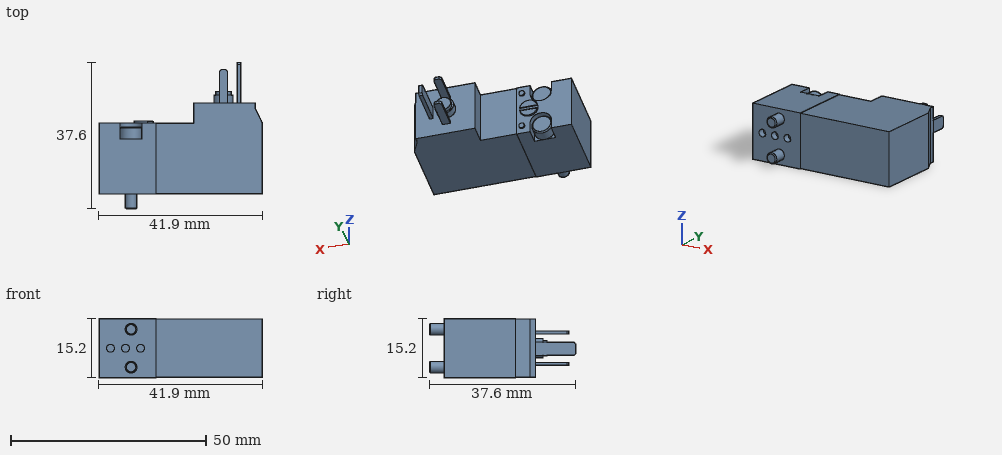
import cadquery as cq

head_length = 14.6
head_depth = 18.3
head_height = 15.2

overall_length = 41.85
body_height = 15.0
body_inset = 0.1
step_x = 24.27
terminal_face_y = 23.4
bevel_start_x = 40.05
bevel_start_y = 21.97
bevel_end_y = 18.35

screw_x = 8.2
screw_offset_z = 4.85
screw_diameter = 3.0
screw_projection = 3.8
screw_tip_chamfer = 0.3
screw_head_diameter = 5.5
screw_head_top_y = 17.25
screw_head_chamfer = 0.35
pocket_width = 5.65
pocket_floor_y = 14.2

port_diameter = 2.0
port_depth = 2.0
port_centre_x = 6.8
port_pitch = 3.85

button_x = 11.3
button_diameter = 4.8
button_height = 0.5
button_slot_width = 0.88
button_slot_depth = 0.3
stud_x = 13.2
stud_offset_z = 5.3
stud_diameter = 1.5
stud_height = 0.38

collar_x = 31.9
collar_diameter = 5.0
collar_height = 1.95
neck_diameter = 4.0
neck_height = 1.0
power_blade_width = 2.1
power_blade_thickness = 0.8
power_blade_length = 8.6
power_blade_offset_z = 4.0
ground_blade_x = 35.85
ground_blade_z = -0.15
ground_blade_width = 3.4
ground_blade_thickness = 0.95
ground_blade_end_y = 33.77
blade_chamfer = 0.5


def cylinder_y(diameter, x, y_start, y_end, z=0.0):
    """Cylinder along +Y from y_start to y_end."""
    start = cq.Vector(x, y_start, z)
    return cq.Workplane(cq.Solid.makeCylinder(diameter / 2, y_end - y_start, start, cq.Vector(0, 1, 0)))


def box_y(width_x, width_z, x, y_start, y_end, z=0.0):
    """Box centred on (x, z), running from y_start to y_end."""
    centre = (x, (y_start + y_end) / 2, z)
    return cq.Workplane("XY").box(width_x, y_end - y_start, width_z).translate(centre)


def make_head():
    return box_y(head_length, head_height, head_length / 2, 0, head_depth)


def make_body():
    outline = [
        (head_length, body_inset),
        (overall_length, body_inset),
        (overall_length, bevel_end_y),
        (bevel_start_x, bevel_start_y),
        (bevel_start_x, terminal_face_y),
        (step_x, terminal_face_y),
        (step_x, head_depth - body_inset),
        (head_length, head_depth - body_inset),
    ]
    return cq.Workplane("XY").polyline(outline).close().extrude(body_height / 2, both=True)


def make_pocket(side):
    """Round-ended screw pocket, open at the back and at one Z side of the head."""
    outer_z = head_height / 2
    mouth_height = outer_z - screw_offset_z
    mouth_z = side * (outer_z + screw_offset_z) / 2
    round_end = cylinder_y(pocket_width, screw_x, pocket_floor_y, head_depth, side * screw_offset_z)
    mouth = box_y(pocket_width, mouth_height, screw_x, pocket_floor_y, head_depth, mouth_z)
    return round_end.union(mouth)


def make_screw_head(side):
    head = cylinder_y(
        screw_head_diameter, screw_x, pocket_floor_y, screw_head_top_y, side * screw_offset_z
    )
    return head.faces(">Y").chamfer(screw_head_chamfer)


def make_screw_end(side):
    end = cylinder_y(screw_diameter, screw_x, -screw_projection, 0, side * screw_offset_z)
    return end.faces("<Y").chamfer(screw_tip_chamfer)


def make_button():
    top_y = head_depth + button_height
    button = cylinder_y(button_diameter, button_x, head_depth, top_y)
    slot = box_y(button_diameter, button_slot_width, button_x, top_y - button_slot_depth, top_y)
    return button.cut(slot)


def make_collar():
    collar_end_y = terminal_face_y + collar_height
    collar = cylinder_y(collar_diameter, collar_x, terminal_face_y, collar_end_y)
    neck = cylinder_y(neck_diameter, collar_x, collar_end_y, collar_end_y + neck_height)
    return collar.union(neck)


def make_power_blade(side):
    end_y = terminal_face_y + power_blade_length
    blade = box_y(
        power_blade_width, power_blade_thickness, collar_x, terminal_face_y, end_y,
        side * power_blade_offset_z,
    )
    return blade.faces(">Y").edges("|Z").chamfer(blade_chamfer)


def make_ground_blade():
    blade = box_y(
        ground_blade_thickness, ground_blade_width, ground_blade_x, terminal_face_y,
        ground_blade_end_y, ground_blade_z,
    )
    return blade.faces(">Y").edges("|X").chamfer(blade_chamfer)


result = make_head().union(make_body())

for side in (-1, 1):
    result = result.cut(make_pocket(side))
    result = result.union(make_screw_head(side))
    result = result.union(make_screw_end(side))
    result = result.union(make_power_blade(side))
    stud = cylinder_y(
        stud_diameter, stud_x, head_depth, head_depth + stud_height, side * stud_offset_z
    )
    result = result.union(stud)

for step in (-1, 0, 1):
    port_x = port_centre_x + step * port_pitch
    result = result.cut(cylinder_y(port_diameter, port_x, 0, port_depth))

result = result.union(make_button()).union(make_collar()).union(make_ground_blade())